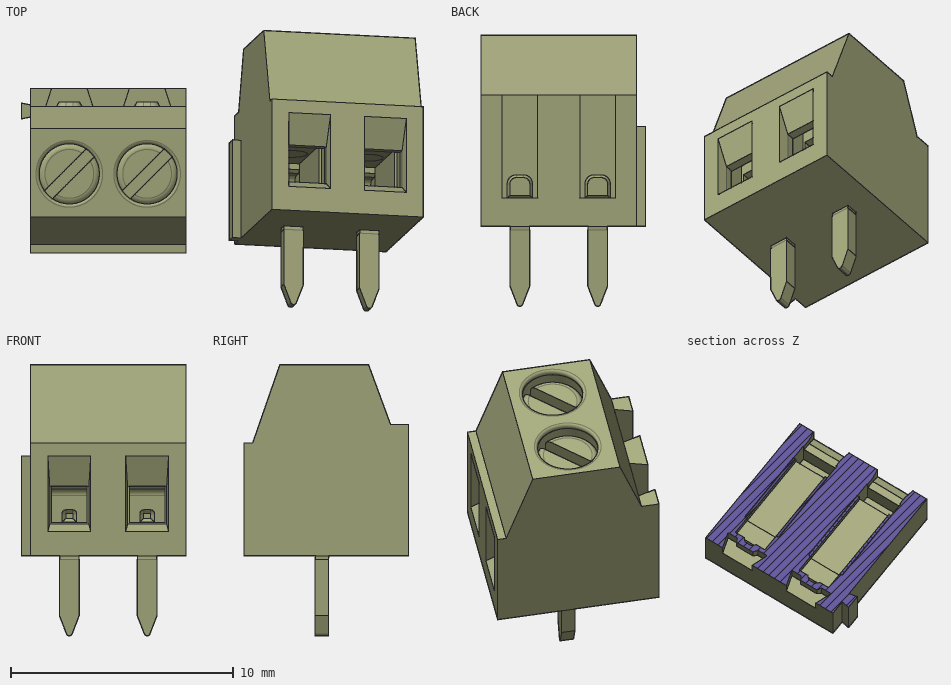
import cadquery as cq
import math


HOUSING_WIDTH = 7.0
HOUSING_DEPTH = 7.4
HOUSING_HEIGHT = 8.6
FRONT_LEDGE_Z = 5.09
FRONT_LEDGE_DEPTH = 0.39
TOP_FRONT_Y = 1.61
TOP_REAR_Y = 5.61
REAR_LEDGE_Z = 5.92
REAR_LEDGE_Y = 6.6

POLE_PITCH = HOUSING_WIDTH / 2
POLE_X = [-POLE_PITCH / 2, POLE_PITCH / 2]
POLE_Y = 3.56

RIB_HEIGHT = 4.5
RIB_DEPTH = 0.4
RIB_Y = 6.39
RIB_ROOT_WIDTH = 0.56
RIB_TIP_WIDTH = 0.72

CAGE_WIDTH = 1.83
CAGE_FRONT_Y = 1.65
CAGE_LENGTH = 2 * (POLE_Y - CAGE_FRONT_Y)
CAGE_REAR_Y = CAGE_FRONT_Y + CAGE_LENGTH
CAGE_BOTTOM_Z = 0.9
CAGE_OPENING_WIDTH = 1.6
CAGE_OPENING_BOTTOM_Z = 1.5
CAGE_OPENING_HEIGHT = 1.92
CAGE_WALL = CAGE_OPENING_BOTTOM_Z - CAGE_BOTTOM_Z
CAGE_HEIGHT = CAGE_OPENING_HEIGHT + 2 * CAGE_WALL
CAGE_TOP_Z = CAGE_BOTTOM_Z + CAGE_HEIGHT

ENTRY_WIDTH = 1.93
ENTRY_BOTTOM_Z = 1.1
ENTRY_TOP_Z = 4.5
THROAT_WIDTH = 1.76
THROAT_BOTTOM_Z = 1.43
THROAT_TOP_Z = 3.12
FUNNEL_DEPTH = 0.5

CHAMBER_FRONT_Y = 0.89
CHAMBER_BOTTOM_Z = 0.6
WIRE_CHAMBER_REAR_Y = 6.38
WIRE_CHAMBER_TOP_Z = 3.0
WIRE_CHAMBER_FILLET = 0.28
WIRE_CHAMBER_CHAMFER = 0.15

POCKET_MOUTH_WIDTH = 1.6
POCKET_INNER_WIDTH = 2.12
POCKET_BOTTOM_Z = 1.27
BOSS_WIDTH = 1.15
BOSS_TOP_Z = 2.32
BOSS_PROTRUSION = 0.21
BOSS_TAPER = 31.0
BOSS_CORNER_RADIUS = 0.41
DIMPLE_WIDTH = 0.66
DIMPLE_BOTTOM_Z = 1.51
DIMPLE_TOP_Z = 2.07
DIMPLE_DEPTH = 0.17
DIMPLE_TAPER = 45.0
DIMPLE_CORNER_RADIUS = 0.18

HEAD_DIAMETER = 2.8
BORE_LIP_DIAMETER = 2.71
BORE_RIM_DIAMETER = 3.0
HEAD_TOP_Z = HOUSING_HEIGHT - 0.55
HEAD_HEIGHT = 2.44
HEAD_BOTTOM_Z = HEAD_TOP_Z - HEAD_HEIGHT
HEAD_FLAT_DIAMETER = 2.2
SHANK_DIAMETER = 1.4
SHANK_BOTTOM_Z = CAGE_TOP_Z - CAGE_WALL
SLOT_WIDTH = 0.51
SLOT_DEPTH = 0.62
SLOT_ANGLE = 45.0

PIN_WIDTH = 0.9
PIN_THICKNESS = 0.61
PIN_Y = 3.5
PIN_LENGTH = 3.6
PIN_NECK_Z = -0.16
PIN_NECK_WIDTH = 0.88
PIN_LEAN = 6.0
PIN_TAPER_Z = -2.68
PIN_TIP_WIDTH = 0.2
PIN_TIP_FILLET = 0.12


def block(width, x, y_range, z_range):
    """A box centred on x, spanning the given Y and Z ranges."""
    return cq.Workplane("XY").box(
        width, y_range[1] - y_range[0], z_range[1] - z_range[0], centered=(True, False, False)
    ).translate((x, y_range[0], z_range[0]))


def cylinder(diameter, x, bottom_z, top_z):
    """An upright cylinder on the screw axis of the pole at x."""
    return (
        cq.Workplane("XY", origin=(x, POLE_Y, bottom_z))
        .circle(diameter / 2)
        .extrude(top_z - bottom_z)
    )


def facing_rear(y):
    """A work plane at depth y whose normal is +Y; its local axes are -X and +Z."""
    return cq.Workplane(cq.Plane(origin=(0, y, 0), xDir=(-1, 0, 0), normal=(0, 1, 0)))


def arched_frustum(x, y, width, bottom_z, top_z, corner_radius, depth, taper):
    """A block narrowing toward +Y whose two upper corners are rounded."""
    half = width / 2
    corner_offset = corner_radius * (1 - math.sqrt(0.5))
    return (
        facing_rear(y)
        .moveTo(-x - half, bottom_z)
        .lineTo(-x + half, bottom_z)
        .lineTo(-x + half, top_z - corner_radius)
        .threePointArc(
            (-x + half - corner_offset, top_z - corner_offset),
            (-x + half - corner_radius, top_z),
        )
        .lineTo(-x - half + corner_radius, top_z)
        .threePointArc(
            (-x - half + corner_offset, top_z - corner_offset),
            (-x - half, top_z - corner_radius),
        )
        .close()
        .extrude(depth, taper=taper)
    )


def make_screw(x):
    """Slotted screw: a round-edged head on a plain shank."""
    edge_radius = (HEAD_DIAMETER - HEAD_FLAT_DIAMETER) / 2
    head = cylinder(HEAD_DIAMETER, x, HEAD_BOTTOM_Z, HEAD_TOP_Z).faces(">Z").edges().fillet(edge_radius)
    shank = cylinder(SHANK_DIAMETER, x, SHANK_BOTTOM_Z, HEAD_BOTTOM_Z)
    slot = (
        cq.Workplane("XY", origin=(x, POLE_Y, HEAD_TOP_Z))
        .transformed(rotate=(0, 0, SLOT_ANGLE))
        .rect(2 * HEAD_DIAMETER, SLOT_WIDTH)
        .extrude(-SLOT_DEPTH)
    )
    return head.union(shank).cut(slot)


def make_cage(x):
    """Clamp cage with a wire opening along Y and a screw hole in its top wall."""
    y_range = (CAGE_FRONT_Y, CAGE_REAR_Y)
    opening_top_z = CAGE_OPENING_BOTTOM_Z + CAGE_OPENING_HEIGHT
    body = block(CAGE_WIDTH, x, y_range, (CAGE_BOTTOM_Z, CAGE_TOP_Z))
    opening = block(CAGE_OPENING_WIDTH, x, y_range, (CAGE_OPENING_BOTTOM_Z, opening_top_z))
    screw_hole = cylinder(SHANK_DIAMETER, x, opening_top_z, CAGE_TOP_Z)
    return body.cut(opening).cut(screw_hole)


def make_pin(x):
    """Solder pin with a pointed tip; its slightly narrower neck leans back up to the cage."""
    front_y = PIN_Y - PIN_THICKNESS / 2
    rear_y = PIN_Y + PIN_THICKNESS / 2
    neck_shift = (CAGE_BOTTOM_Z - PIN_NECK_Z) * math.tan(math.radians(PIN_LEAN))
    side_profile = [
        (front_y, -PIN_LENGTH),
        (rear_y, -PIN_LENGTH),
        (rear_y, PIN_NECK_Z),
        (rear_y + neck_shift, CAGE_BOTTOM_Z),
        (front_y + neck_shift, CAGE_BOTTOM_Z),
        (front_y, PIN_NECK_Z),
    ]
    bar = (
        cq.Workplane("YZ", origin=(x, 0, 0))
        .polyline(side_profile)
        .close()
        .extrude(PIN_WIDTH / 2, both=True)
    )
    front_profile = [
        (x - PIN_TIP_WIDTH / 2, -PIN_LENGTH),
        (x + PIN_TIP_WIDTH / 2, -PIN_LENGTH),
        (x + PIN_WIDTH / 2, PIN_TAPER_Z),
        (x + PIN_WIDTH / 2, PIN_NECK_Z),
        (x + PIN_NECK_WIDTH / 2, PIN_NECK_Z),
        (x + PIN_NECK_WIDTH / 2, CAGE_BOTTOM_Z),
        (x - PIN_NECK_WIDTH / 2, CAGE_BOTTOM_Z),
        (x - PIN_NECK_WIDTH / 2, PIN_NECK_Z),
        (x - PIN_WIDTH / 2, PIN_NECK_Z),
        (x - PIN_WIDTH / 2, PIN_TAPER_Z),
    ]
    pointed_outline = cq.Workplane("XZ").polyline(front_profile).close().extrude(-HOUSING_DEPTH)
    return bar.intersect(pointed_outline).faces("<Z").edges("|Y").fillet(PIN_TIP_FILLET)


def make_shell():
    """The solid outer shape of the housing, with its side rib."""
    side_profile = [
        (0, 0),
        (HOUSING_DEPTH, 0),
        (HOUSING_DEPTH, REAR_LEDGE_Z),
        (REAR_LEDGE_Y, REAR_LEDGE_Z),
        (TOP_REAR_Y, HOUSING_HEIGHT),
        (TOP_FRONT_Y, HOUSING_HEIGHT),
        (FRONT_LEDGE_DEPTH, FRONT_LEDGE_Z),
        (0, FRONT_LEDGE_Z),
    ]
    shell = cq.Workplane("YZ").polyline(side_profile).close().extrude(HOUSING_WIDTH / 2, both=True)
    root_x = -HOUSING_WIDTH / 2
    tip_x = root_x - RIB_DEPTH
    rib_profile = [
        (root_x, RIB_Y - RIB_ROOT_WIDTH / 2),
        (tip_x, RIB_Y - RIB_TIP_WIDTH / 2),
        (tip_x, RIB_Y + RIB_TIP_WIDTH / 2),
        (root_x, RIB_Y + RIB_ROOT_WIDTH / 2),
    ]
    rib = cq.Workplane("XY").polyline(rib_profile).close().extrude(RIB_HEIGHT)
    return shell.union(rib)


def screw_bore(x):
    """Stepped bore for the screw, ending at the top in a slightly narrower, rounded lip."""
    rim_radius = (BORE_RIM_DIAMETER - BORE_LIP_DIAMETER) / 2
    rim_middle_z = HOUSING_HEIGHT - rim_radius
    lip_overhang = (HEAD_DIAMETER - BORE_LIP_DIAMETER) / 2
    lip_drop = math.sqrt(rim_radius**2 - (rim_radius - lip_overhang) ** 2)
    lip_bottom_z = rim_middle_z - lip_drop
    bore = cylinder(HEAD_DIAMETER, x, HEAD_BOTTOM_Z, lip_bottom_z)
    shank_hole = cylinder(SHANK_DIAMETER, x, CAGE_TOP_Z, HEAD_BOTTOM_Z)
    lip = (
        cq.Workplane("XZ", origin=(x, POLE_Y, 0))
        .moveTo(0, lip_bottom_z)
        .lineTo(HEAD_DIAMETER / 2, lip_bottom_z)
        .threePointArc(
            (BORE_LIP_DIAMETER / 2, rim_middle_z),
            (BORE_RIM_DIAMETER / 2, HOUSING_HEIGHT),
        )
        .lineTo(0, HOUSING_HEIGHT)
        .close()
        .revolve(360, (0, 0), (0, 1))
    )
    return bore.union(shank_hole).union(lip)


def wire_entry(x):
    """Tapered entry in the front face and the straight throat leading to the cage chamber."""
    entry_height = ENTRY_TOP_Z - ENTRY_BOTTOM_Z
    throat_height = THROAT_TOP_Z - THROAT_BOTTOM_Z
    entry_middle_z = (ENTRY_TOP_Z + ENTRY_BOTTOM_Z) / 2
    throat_middle_z = (THROAT_TOP_Z + THROAT_BOTTOM_Z) / 2
    funnel = (
        facing_rear(0)
        .center(-x, entry_middle_z)
        .rect(ENTRY_WIDTH, entry_height)
        .workplane(offset=FUNNEL_DEPTH)
        .center(0, throat_middle_z - entry_middle_z)
        .rect(THROAT_WIDTH, throat_height)
        .loft(ruled=True)
    )
    throat = block(THROAT_WIDTH, x, (FUNNEL_DEPTH, CHAMBER_FRONT_Y), (THROAT_BOTTOM_Z, THROAT_TOP_Z))
    return funnel.union(throat)


def inner_chambers(x):
    """Chamber around the cage, and the narrower wire chamber with a rounded upper rear corner."""
    cage_chamber = block(CAGE_WIDTH, x, (CHAMBER_FRONT_Y, CAGE_REAR_Y), (CHAMBER_BOTTOM_Z, CAGE_TOP_Z))
    wire_chamber = (
        block(
            CAGE_OPENING_WIDTH,
            x,
            (CAGE_REAR_Y, WIRE_CHAMBER_REAR_Y),
            (CAGE_OPENING_BOTTOM_Z, WIRE_CHAMBER_TOP_Z),
        )
        .edges("|X and >Y and >Z")
        .fillet(WIRE_CHAMBER_FILLET)
    )
    lead_in_profile = [
        (CAGE_REAR_Y, WIRE_CHAMBER_TOP_Z),
        (CAGE_REAR_Y + WIRE_CHAMBER_CHAMFER, WIRE_CHAMBER_TOP_Z),
        (CAGE_REAR_Y, WIRE_CHAMBER_TOP_Z + WIRE_CHAMBER_CHAMFER),
    ]
    lead_in = (
        cq.Workplane("YZ", origin=(x, 0, 0))
        .polyline(lead_in_profile)
        .close()
        .extrude(CAGE_OPENING_WIDTH / 2, both=True)
    )
    return cage_chamber.union(wire_chamber).union(lead_in)


def rear_pocket(x):
    """Dovetail pocket in the rear face, open at the rear ledge, around a tapered boss."""
    outline = [
        (x - POCKET_MOUTH_WIDTH / 2, HOUSING_DEPTH),
        (x - POCKET_INNER_WIDTH / 2, REAR_LEDGE_Y),
        (x + POCKET_INNER_WIDTH / 2, REAR_LEDGE_Y),
        (x + POCKET_MOUTH_WIDTH / 2, HOUSING_DEPTH),
    ]
    pocket = (
        cq.Workplane("XY", origin=(0, 0, POCKET_BOTTOM_Z))
        .polyline(outline)
        .close()
        .extrude(REAR_LEDGE_Z - POCKET_BOTTOM_Z)
    )
    boss = arched_frustum(
        x, REAR_LEDGE_Y, BOSS_WIDTH, POCKET_BOTTOM_Z, BOSS_TOP_Z,
        BOSS_CORNER_RADIUS, BOSS_PROTRUSION, BOSS_TAPER,
    )
    return pocket.cut(boss)


def boss_dimple(x):
    """Tapered hollow of the boss, open to the wire chamber."""
    return arched_frustum(
        x, WIRE_CHAMBER_REAR_Y, DIMPLE_WIDTH, DIMPLE_BOTTOM_Z, DIMPLE_TOP_Z,
        DIMPLE_CORNER_RADIUS, DIMPLE_DEPTH, DIMPLE_TAPER,
    )


def make_housing(pins):
    """Housing with all openings of every pole and a matching hole for each pin."""
    housing = make_shell()
    for x in POLE_X:
        for opening in (screw_bore, wire_entry, inner_chambers, rear_pocket, boss_dimple):
            housing = housing.cut(opening(x))
    for pin in pins:
        housing = housing.cut(pin)
    return housing


screws = [make_screw(x) for x in POLE_X]
cages = [make_cage(x) for x in POLE_X]
pins = [make_pin(x) for x in POLE_X]
housing = make_housing(pins)

result = cq.Compound.makeCompound(
    [housing.val()] + [body.val() for body in screws + cages + pins]
)